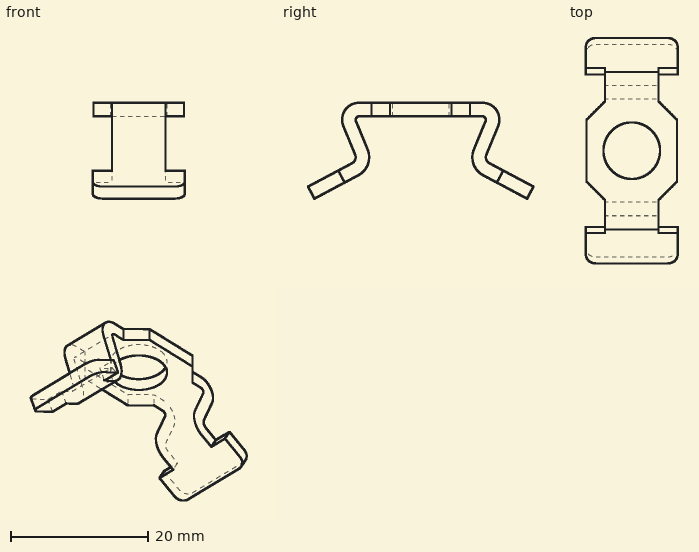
import cadquery as cq
import math

overall_length = 32.85
overall_height = 14.0
thickness = 2.0

strip_width = 7.82
plate_width = 13.25
foot_width = 13.4

plate_straight_length = 8.95
hole_diameter = 8.2
plate_chamfer = (plate_width - strip_width) / 2
plate_length = plate_straight_length + 2 * plate_chamfer

upper_inner_radius = 0.5
upper_outer_radius = upper_inner_radius + thickness
lower_inner_radius = 1.0
lower_outer_radius = lower_inner_radius + thickness
bend_start = 8.97
leg_angle = math.radians(22.5)
foot_angle = math.radians(28)
foot_length = 5.0
foot_corner_radius = 1.48


def polar(center, radius, angle):
    """Point in the YZ plane at an angle measured from +Y towards +Z."""
    return (center[0] + radius * math.cos(angle), center[1] + radius * math.sin(angle))


def dot(a, b):
    return a[0] * b[0] + a[1] * b[1]


up = math.pi / 2
foot_up = up - foot_angle
foot_normal = polar((0, 0), 1, foot_up)
leg_down = (-math.sin(leg_angle), -math.cos(leg_angle))

foot_tip = (overall_length / 2, thickness * math.cos(foot_angle) - overall_height)
foot_tip_lower = polar(foot_tip, -thickness, foot_up)

upper_center = (bend_start, -upper_outer_radius)
leg_offset = polar(upper_center, upper_outer_radius + lower_inner_radius, -leg_angle)
foot_level = dot(foot_tip, foot_normal) + lower_inner_radius
leg_length = (foot_level - dot(leg_offset, foot_normal)) / dot(leg_down, foot_normal)
lower_center = (
    leg_offset[0] + leg_length * leg_down[0],
    leg_offset[1] + leg_length * leg_down[1],
)

upper_mid = (up - leg_angle) / 2
lower_start = math.pi - leg_angle
lower_end = foot_up + math.pi
lower_mid = (lower_start + lower_end) / 2


def make_arm():
    """Bent strip from the middle of the plate into the +Y foot."""
    return (
        cq.Workplane("YZ")
        .moveTo(0, 0)
        .lineTo(bend_start, 0)
        .threePointArc(
            polar(upper_center, upper_outer_radius, upper_mid),
            polar(upper_center, upper_outer_radius, -leg_angle),
        )
        .lineTo(*polar(lower_center, lower_inner_radius, lower_start))
        .threePointArc(
            polar(lower_center, lower_inner_radius, lower_mid),
            polar(lower_center, lower_inner_radius, lower_end),
        )
        .lineTo(*polar(foot_tip, -foot_length / 2, -foot_angle))
        .lineTo(*polar(foot_tip_lower, -foot_length / 2, -foot_angle))
        .lineTo(*polar(lower_center, lower_outer_radius, lower_end))
        .threePointArc(
            polar(lower_center, lower_outer_radius, lower_mid),
            polar(lower_center, lower_outer_radius, lower_start),
        )
        .lineTo(*polar(upper_center, upper_inner_radius, -leg_angle))
        .threePointArc(
            polar(upper_center, upper_inner_radius, upper_mid),
            polar(upper_center, upper_inner_radius, up),
        )
        .lineTo(0, -thickness)
        .close()
        .extrude(strip_width / 2, both=True)
    )


def make_foot():
    """Wide sloping foot with its two end corners rounded."""
    foot_plane = cq.Plane(
        origin=(0, *foot_tip), xDir=(1, 0, 0), normal=(0, *foot_normal)
    )
    return (
        cq.Workplane(foot_plane)
        .center(0, -foot_length / 2)
        .rect(foot_width, foot_length)
        .extrude(-thickness)
        .faces(">Y")
        .edges("not |X")
        .fillet(foot_corner_radius)
    )


def make_plate():
    """Flat plate with chamfered corners."""
    return (
        cq.Workplane("XY")
        .rect(plate_width, plate_length)
        .extrude(-thickness)
        .edges("|Z")
        .chamfer(plate_chamfer)
    )


def make_hole():
    return cq.Workplane("XY").circle(hole_diameter / 2).extrude(-thickness)


half = make_arm().union(make_foot())
result = make_plate().union(half).union(half.mirror("XZ")).cut(make_hole())